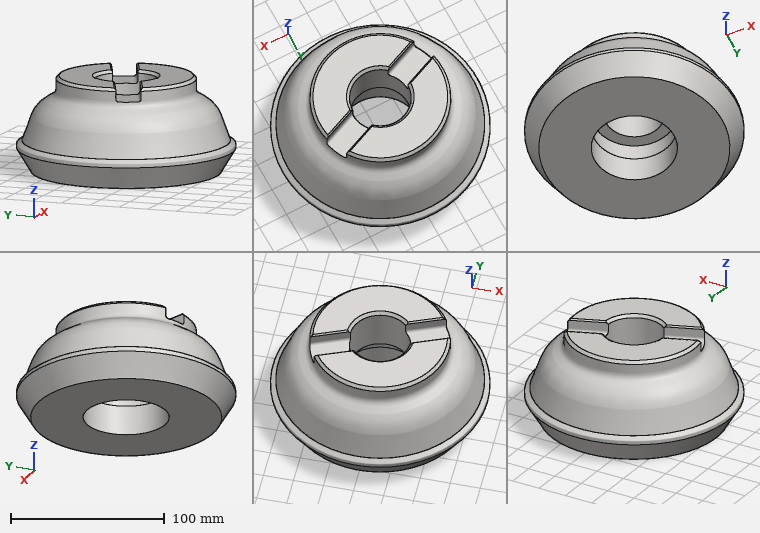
import cadquery as cq
import math

outer_radius = 71.4
total_height = 63.0

ring_height = 20.3
ring_bottom_radius = 62.4
ring_bottom_chamfer = 0.7
ring_bottom_chamfer_width = 0.3
rim_bottom_height = 15.4
rim_top_height = 17.5
rim_corner_radius = 0.9
lip_slope = math.radians(33)

neck_radius = 91.5 / 2
neck_bottom_height = 54.1
edge_chamfer = 2.0
neck_arc_radius = 5.4
shoulder_start_radius = 53.1
shoulder_arc_radius = 20.3
shoulder_slope = math.radians(30)
skirt_slope = math.radians(70)

bore_radius = 40 / 2
recess_radius = 56.0 / 2
recess_top_height = 32.8

slot_width = 16.4
slot_depth = 9.0
slot_angle = 22.5
slot_corner_radius = 2.0
slot_chamfer = 1.0


def slope_arc(start, radius, start_slope, end_slope):
    """Middle and end points of an outward, downward arc.

    Slopes are angles below the horizontal; the arc is convex when the slope grows.
    """
    turn = 1 if end_slope > start_slope else -1

    def point_at(slope):
        out = turn * radius * (math.sin(slope) - math.sin(start_slope))
        down = turn * radius * (math.cos(start_slope) - math.cos(slope))
        return (start[0] + out, start[1] - down)

    return point_at((start_slope + end_slope) / 2), point_at(end_slope)


def make_ring():
    """Tapered cutting ring with a narrow cylindrical rim and a sloping lip that meets the skirt."""
    lip_edge = (
        outer_radius - rim_corner_radius * (1 - math.sin(lip_slope)),
        rim_top_height + rim_corner_radius * math.cos(lip_slope),
    )
    rim_mid, rim_top = slope_arc(lip_edge, rim_corner_radius, lip_slope, math.radians(90))
    lip_inner_radius = lip_edge[0] - (ring_height - lip_edge[1]) / math.tan(lip_slope)

    return (
        cq.Workplane("XZ")
        .moveTo(recess_radius, 0)
        .lineTo(ring_bottom_radius - ring_bottom_chamfer_width, 0)
        .lineTo(ring_bottom_radius, ring_bottom_chamfer)
        .lineTo(outer_radius, rim_bottom_height)
        .lineTo(*rim_top)
        .threePointArc(rim_mid, lip_edge)
        .lineTo(lip_inner_radius, ring_height)
        .lineTo(recess_radius, ring_height)
        .close()
        .revolve(360, (0, 0), (0, 1))
    )


def make_adapter_blank():
    """Revolved adapter with its bore, bore chamfer and bottom recess."""
    neck_bottom = (neck_radius, neck_bottom_height)
    neck_arc_mid, neck_arc_end = slope_arc(
        neck_bottom, neck_arc_radius, math.radians(90), shoulder_slope
    )
    shoulder_run = shoulder_start_radius - neck_arc_end[0]
    shoulder_start = (
        shoulder_start_radius,
        neck_arc_end[1] - shoulder_run * math.tan(shoulder_slope),
    )
    shoulder_mid, shoulder_end = slope_arc(
        shoulder_start, shoulder_arc_radius, shoulder_slope, skirt_slope
    )
    skirt_drop = shoulder_end[1] - ring_height
    skirt_bottom_radius = shoulder_end[0] + skirt_drop / math.tan(skirt_slope)

    return (
        cq.Workplane("XZ")
        .moveTo(bore_radius, recess_top_height)
        .lineTo(bore_radius, total_height - edge_chamfer)
        .lineTo(bore_radius + edge_chamfer, total_height)
        .lineTo(neck_radius - edge_chamfer, total_height)
        .lineTo(neck_radius, total_height - edge_chamfer)
        .lineTo(*neck_bottom)
        .threePointArc(neck_arc_mid, neck_arc_end)
        .lineTo(*shoulder_start)
        .threePointArc(shoulder_mid, shoulder_end)
        .lineTo(skirt_bottom_radius, ring_height)
        .lineTo(recess_radius, ring_height)
        .lineTo(recess_radius, recess_top_height)
        .close()
        .revolve(360, (0, 0), (0, 1))
    )


def make_slot_cutter():
    """Slot volume with rounded floor corners and flared top edges."""
    floor_height = total_height - slot_depth
    cutter = (
        cq.Workplane("XY", origin=(0, 0, floor_height))
        .box(2 * outer_radius, slot_width, slot_depth, centered=(True, True, False))
        .edges("|X and <Z")
        .fillet(slot_corner_radius)
    )
    half_width = slot_width / 2
    flare_outline = [
        (-half_width, total_height - slot_chamfer),
        (half_width, total_height - slot_chamfer),
        (half_width + slot_chamfer, total_height),
        (-half_width - slot_chamfer, total_height),
    ]
    flare = cq.Workplane("YZ").polyline(flare_outline).close().extrude(outer_radius, both=True)
    return cutter.union(flare).rotate((0, 0, 0), (0, 0, 1), slot_angle)


ring = make_ring()
adapter = make_adapter_blank().cut(make_slot_cutter())

result = cq.Compound.makeCompound([adapter.val(), ring.val()])